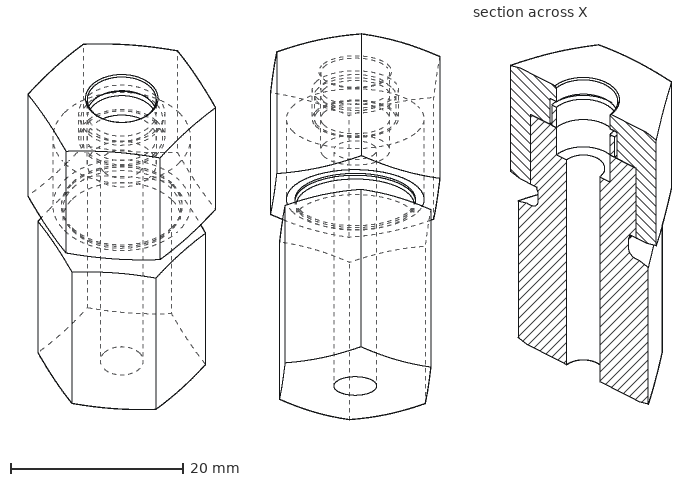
import cadquery as cq
import math

TOTAL_HEIGHT = 40.5
NUT_HEIGHT = 16.5
NUT_BOTTOM = TOTAL_HEIGHT - NUT_HEIGHT
BODY_HEX_HEIGHT = 20.98

NUT_ACROSS_FLATS = 19.0
BODY_ACROSS_FLATS = 16.95
HEX_CHAMFER_ANGLE = 15.0

NECK_DIAMETER = 13.7
COVE_RADIUS = 1.0
COLLAR_DIAMETER = 14.0
FLARE_BOTTOM = 23.35
COLLAR_BOTTOM = 23.77
THREAD_DIAMETER = 16.0
STEM_TOP = 34.42

TUBE_DIAMETER = 8.0
FLOW_DIAMETER = 5.0
SOCKET_DEPTH = 4.05
RIM_CHAMFER = 0.2

NUT_BORE_LENGTH = 2.3
RING_CAVITY_DIAMETER = 10.0
RING_DIAMETER = 9.48
RING_GAP = 0.75
CAVITY_TOP = TOTAL_HEIGHT - NUT_BORE_LENGTH
RING_TOP = CAVITY_TOP - RING_GAP


def cylinder(diameter, bottom, top):
    return cq.Workplane("XY").workplane(offset=bottom).circle(diameter / 2).extrude(top - bottom)


def chamfered_hex(across_flats, bottom, top):
    """Hexagonal prism whose corners are turned off by a shallow cone at both ends."""
    flat_radius = across_flats / 2
    corner_radius = flat_radius / math.cos(math.radians(30))
    drop = (corner_radius - flat_radius) * math.tan(math.radians(HEX_CHAMFER_ANGLE))
    prism = (
        cq.Workplane("XY")
        .workplane(offset=bottom)
        .transformed(rotate=(0, 0, 30))
        .polygon(6, 2 * corner_radius)
        .extrude(top - bottom)
    )
    turned_envelope = (
        cq.Workplane("XZ")
        .polyline([
            (0, bottom),
            (flat_radius, bottom),
            (corner_radius, bottom + drop),
            (corner_radius, top - drop),
            (flat_radius, top),
            (0, top),
        ])
        .close()
        .revolve(360, (0, 0), (0, 1))
    )
    return prism.intersect(turned_envelope)


def make_stem():
    """Turned neck with a cove at its foot and a flare up to the threaded stem."""
    neck_radius = NECK_DIAMETER / 2
    collar_radius = COLLAR_DIAMETER / 2
    thread_radius = THREAD_DIAMETER / 2
    cove_reach = COVE_RADIUS * (1 - math.sqrt(0.5))
    root = BODY_HEX_HEIGHT - COVE_RADIUS
    return (
        cq.Workplane("XZ")
        .moveTo(0, root)
        .lineTo(neck_radius + COVE_RADIUS, root)
        .lineTo(neck_radius + COVE_RADIUS, BODY_HEX_HEIGHT)
        .threePointArc(
            (neck_radius + cove_reach, BODY_HEX_HEIGHT + cove_reach),
            (neck_radius, BODY_HEX_HEIGHT + COVE_RADIUS),
        )
        .lineTo(neck_radius, FLARE_BOTTOM)
        .lineTo(collar_radius, COLLAR_BOTTOM)
        .lineTo(collar_radius, NUT_BOTTOM)
        .lineTo(thread_radius, NUT_BOTTOM)
        .lineTo(thread_radius, STEM_TOP)
        .lineTo(0, STEM_TOP)
        .close()
        .revolve(360, (0, 0), (0, 1))
    )


def make_body():
    body = chamfered_hex(BODY_ACROSS_FLATS, 0, BODY_HEX_HEIGHT).union(make_stem())
    body = body.cut(cylinder(FLOW_DIAMETER, 0, STEM_TOP))
    return body.cut(cylinder(TUBE_DIAMETER, STEM_TOP - SOCKET_DEPTH, STEM_TOP))


def make_nut():
    nut = chamfered_hex(NUT_ACROSS_FLATS, NUT_BOTTOM, TOTAL_HEIGHT)
    nut = nut.cut(cylinder(THREAD_DIAMETER, NUT_BOTTOM, STEM_TOP))
    nut = nut.cut(cylinder(RING_CAVITY_DIAMETER, STEM_TOP, CAVITY_TOP))
    nut = nut.cut(cylinder(TUBE_DIAMETER, CAVITY_TOP, TOTAL_HEIGHT))
    bore_rim = cq.selectors.RadiusNthSelector(0)
    return nut.faces(">Z").edges("%CIRCLE").edges(bore_rim).chamfer(RIM_CHAMFER)


def make_ring():
    """Sealing ring standing on the stem inside the nut."""
    return cylinder(RING_DIAMETER, STEM_TOP, RING_TOP).cut(cylinder(TUBE_DIAMETER, STEM_TOP, RING_TOP))


body = make_body()
nut = make_nut()
ring = make_ring()

result = cq.Compound.makeCompound([body.solids().val(), nut.solids().val(), ring.solids().val()])